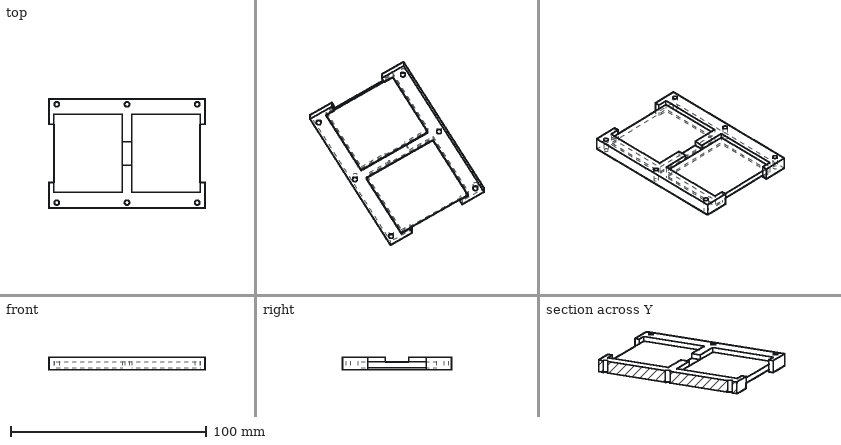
import cadquery as cq

frame_length = 80.0
frame_width = 56.0
frame_height = 6.5
end_notch_width = 29.8

plate_width = 40.0
plate_bottom = 1.0
plate_top = 4.0
plate_thickness = plate_top - plate_bottom

rib_thickness = 4.9
rib_gap = 11.8

end_lip = 2.6
plate_length = (frame_length - rib_thickness) / 2 - end_lip
plate_offset = (rib_thickness + plate_length) / 2

hole_diameter = 2.4
hole_spacing_x = 36.0
hole_offset_y = 25.2


def block(length, width, height, x, bottom):
    """Box centred on the X axis at x, rising from the given bottom height."""
    return (
        cq.Workplane("XY")
        .box(length, width, height, centered=(True, True, False))
        .translate((x, 0, bottom))
    )


def make_plate(side):
    """Flat plate held between the walls of one window, above the frame's underside; side is -1 or +1."""
    return block(plate_length, plate_width, plate_thickness, side * plate_offset, plate_bottom)


def make_frame():
    frame = block(frame_length, frame_width, frame_height, 0, 0)

    notch_offset = (frame_length - end_lip) / 2
    for side in (-1, 1):
        window = block(plate_length, plate_width, frame_height, side * plate_offset, 0)
        notch = block(end_lip, end_notch_width, frame_height, side * notch_offset, 0)
        frame = frame.cut(window).cut(notch)

    frame = frame.cut(block(rib_thickness, rib_gap, frame_height - plate_top, 0, plate_top))

    hole_points = [
        (column * hole_spacing_x, row * hole_offset_y)
        for column in (-1, 0, 1)
        for row in (-1, 1)
    ]
    holes = cq.Workplane("XY").pushPoints(hole_points).circle(hole_diameter / 2).extrude(frame_height)
    return frame.cut(holes)


frame = make_frame()
plates = [make_plate(side) for side in (-1, 1)]

result = cq.Compound.makeCompound([frame.val(), *[plate.val() for plate in plates]])